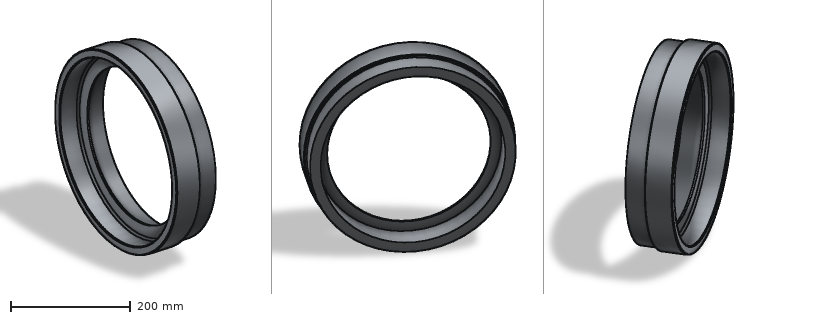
import cadquery as cq

flange_radius = 180.0
rear_radius = 175.0
recess_radius = 164.5
bore_radius = 139.0
rear_cavity_radius = 157.0

ring_length = 84.0
flange_length = 49.0
recess_depth = 38.5
lip_thickness = 3.5

edge_chamfer = 1.8
recess_floor_chamfer = 4.0

front_y = -ring_length / 2
rear_y = ring_length / 2
flange_end_y = front_y + flange_length
recess_floor_y = front_y + recess_depth
lip_rear_y = recess_floor_y + lip_thickness

section = [
    (flange_radius - edge_chamfer, front_y),
    (flange_radius, front_y + edge_chamfer),
    (flange_radius, flange_end_y - edge_chamfer),
    (flange_radius - edge_chamfer, flange_end_y),
    (rear_radius, flange_end_y),
    (rear_radius, rear_y),
    (rear_cavity_radius, rear_y),
    (rear_cavity_radius, lip_rear_y),
    (bore_radius, lip_rear_y),
    (bore_radius, recess_floor_y),
    (recess_radius - recess_floor_chamfer, recess_floor_y),
    (recess_radius, recess_floor_y - recess_floor_chamfer),
    (recess_radius, front_y + edge_chamfer),
    (recess_radius + edge_chamfer, front_y),
]

result = cq.Workplane("XY").polyline(section).close().revolve(360, (0, 0, 0), (0, 1, 0))